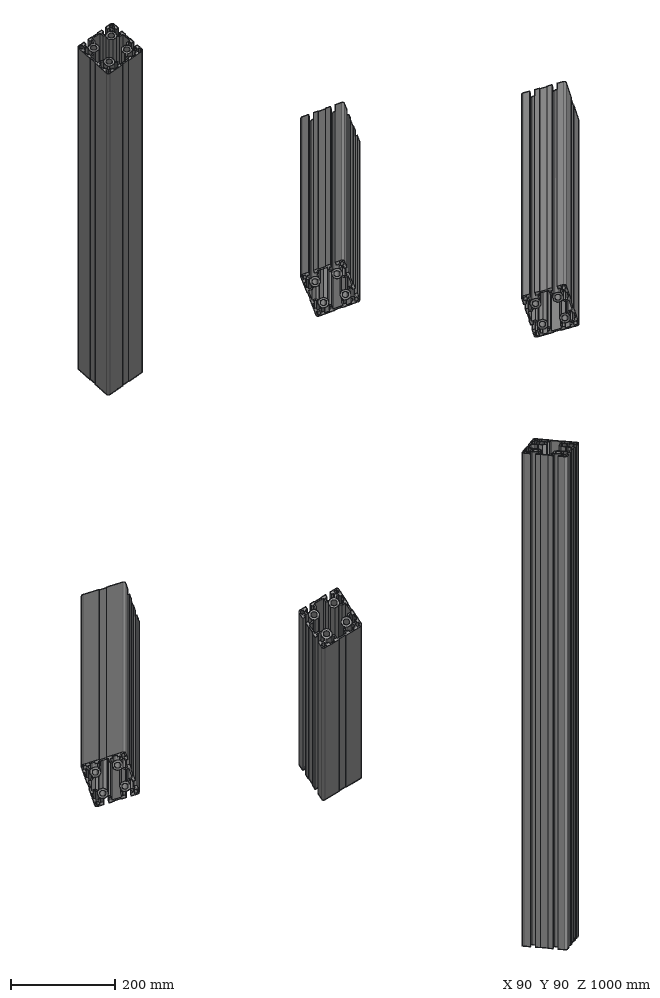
import cadquery as cq
import math

length = 1000.0
side = 90.0
corner_radius = 4.5
half_side = side / 2

core_offset = side / 4
core_sides = 8
core_width = 20.0
core_bore_diameter = 12.0

slot_opening = 10.0
slot_lip = 6.0
slot_cavity_width = 19.0
slot_side_depth = 10.0
slot_floor_width = 14.0
slot_floor_depth = 14.0
slot_crest_depth = 12.0
slot_crest_width = 8.0
slot_crest_height = 0.8
skin = 2.5

wall = 4.0
arm_half_width = 10.0
arm_shoulder_depth = 12.0
arm_shoulder_length = 6.0

corner_hollow_near = 3.0
corner_hollow_size = 7.0
corner_hollow_chamfer = 1.0

groove_width = 15.0
groove_depth = 1.0

quarter_turns = [0, 90, 180, 270]


def prism(points):
    """Extrude a closed outline over the full length."""
    return cq.Workplane("XY").polyline(points).close().extrude(length)


def mirrored(points):
    """Complete a half outline with its reflection across the Y axis."""
    return points + [(-x, y) for x, y in reversed(points)]


def turned(shape, angle):
    """Turn a +Y feature about Z onto another face."""
    return shape.rotate((0, 0, 0), (0, 0, 1), angle)


def core_points():
    """The four core axes, ready to carry a profile."""
    return cq.Workplane("XY").rect(2 * core_offset, 2 * core_offset, forConstruction=True).vertices()


def octagonal_cores():
    """Full-length octagonal bars with flats square to X and Y."""
    half_step = 180 / core_sides
    corner_distance = core_width / 2 / math.cos(math.radians(half_step))
    octagon = cq.Sketch().regularPolygon(corner_distance, core_sides, angle=half_step)
    return core_points().placeSketch(octagon).extrude(length)


def slot(mouth_depth):
    """T-slot below the +Y face, starting at the given depth, with an arched crest on its floor."""
    crest_end = half_side - slot_crest_depth - slot_crest_height
    half = [
        (slot_crest_width / 2, crest_end),
        (slot_floor_width / 2, half_side - slot_floor_depth),
        (slot_cavity_width / 2, half_side - slot_side_depth),
        (slot_cavity_width / 2, half_side - slot_lip),
        (slot_opening / 2, half_side - slot_lip),
        (slot_opening / 2, half_side - mouth_depth),
    ]
    return (
        cq.Workplane("XY")
        .polyline(mirrored(half))
        .threePointArc((0, half_side - slot_crest_depth), half[0])
        .close()
        .extrude(length)
    )


def central_hollow():
    """Cross-shaped hollow: four arms that widen at 45 degrees towards the middle."""
    shoulder = half_side - arm_shoulder_depth
    arm = mirrored([
        (arm_half_width + arm_shoulder_length, shoulder - arm_shoulder_length),
        (arm_half_width, shoulder),
        (arm_half_width, half_side - wall),
    ])
    outline = []
    for _ in quarter_turns:
        outline += arm
        arm = [(-y, x) for x, y in arm]
    return prism(outline)


def corner_hollow():
    """Square hollow in the +X +Y corner, its outermost corner cut off."""
    outer = half_side - corner_hollow_near
    inner = outer - corner_hollow_size
    return prism([
        (inner, inner),
        (outer, inner),
        (outer, outer - corner_hollow_chamfer),
        (outer - corner_hollow_chamfer, outer),
        (inner, outer),
    ])


def face_groove():
    """Shallow groove in the middle of the +Y face."""
    return (
        cq.Workplane("XY")
        .center(0, half_side - groove_depth / 2)
        .rect(groove_width, groove_depth)
        .extrude(length)
    )


body = cq.Workplane("XY").rect(side, side).extrude(length).edges("|Z").fillet(corner_radius)
body = body.cut(central_hollow()).union(octagonal_cores())

slot_mouth_depths = [0, 0, skin, skin]
for angle, mouth_depth in zip(quarter_turns, slot_mouth_depths):
    for offset in (-core_offset, core_offset):
        body = body.cut(turned(slot(mouth_depth).translate((offset, 0, 0)), angle))
    body = body.cut(turned(corner_hollow(), angle))
    body = body.cut(turned(face_groove(), angle))

core_bores = core_points().circle(core_bore_diameter / 2).extrude(length)

result = body.cut(core_bores)